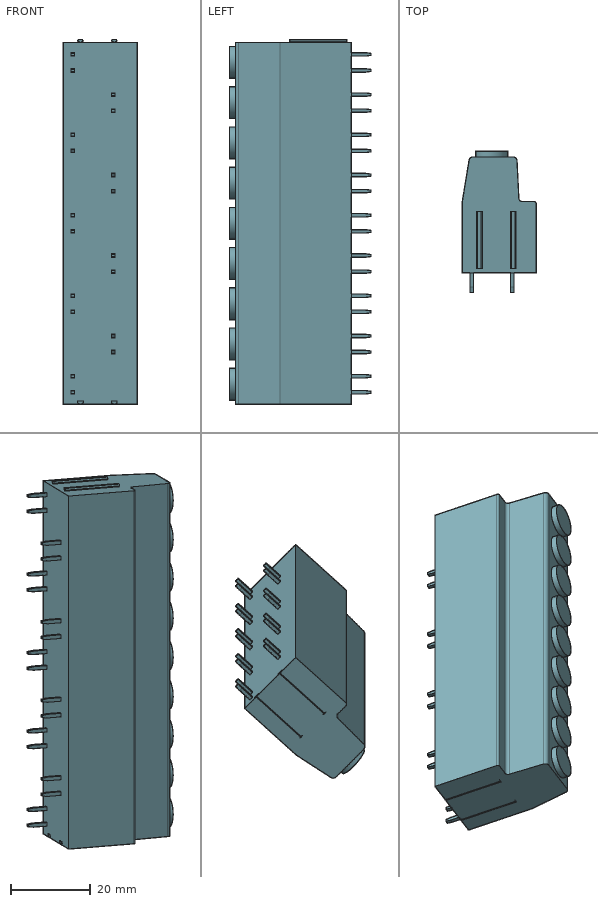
import cadquery as cq

LENGTH = 92.2
WIDTH = 18.7
DEPTH = 35.8

BUTTON_HEIGHT = 1.5
PIN_LENGTH = 5.0
HOUSING_DEPTH = DEPTH - BUTTON_HEIGHT - PIN_LENGTH
SLOPE_START = 18.1
CROWN_LEFT = 1.8
CROWN_RIGHT = 13.8
WALL_FOOT = 14.4
SHELF_HEIGHT = 18.1
CROWN_RADIUS = 1.0
SHELF_INNER_RADIUS = 0.8
SHELF_OUTER_RADIUS = 0.55

DOVETAIL_X = (4.3, 12.9)
RIB_HEIGHT = 0.7
DOVETAIL_WIDTH = 1.5
RIB_ROOT_WIDTH = 0.4
RIB_TOP_WIDTH = 0.9
RIB_WIDEST_HEIGHT = 0.4
RIB_START = 1.1
RIB_END = 15.6
GROOVE_DEPTH = 0.8
GROOVE_MOUTH_WIDTH = 0.2
HOUSING_LENGTH = LENGTH - RIB_HEIGHT

POLE_COUNT = 9
POLE_PITCH = HOUSING_LENGTH / POLE_COUNT
BUTTON_DIAMETER = 8.1
BUTTON_X = 7.5

PIN_COLUMNS = (2.4, 12.6)
PIN_SPACING = 4.1
PIN_SIZE = 0.9
PIN_TIP_SIZE = 0.55
PIN_TIP_LENGTH = 1.4


def make_housing():
    outline = [
        (0, 0),
        (WIDTH, 0),
        (WIDTH, SHELF_HEIGHT),
        (WALL_FOOT, SHELF_HEIGHT),
        (CROWN_RIGHT, HOUSING_DEPTH),
        (CROWN_LEFT, HOUSING_DEPTH),
        (0, SLOPE_START),
    ]
    housing = cq.Workplane("XY").polyline(outline).close().extrude(HOUSING_LENGTH)
    housing = housing.edges("|Z and >Y").fillet(CROWN_RADIUS)
    shelf_rounds = (
        (WIDTH, SHELF_OUTER_RADIUS),
        (WALL_FOOT, SHELF_INNER_RADIUS),
    )
    for x, radius in shelf_rounds:
        corner = cq.selectors.NearestToPointSelector((x, SHELF_HEIGHT, HOUSING_LENGTH / 2))
        housing = housing.edges(corner).fillet(radius)
    return housing


def make_dovetail_bar(levels, x, y_start):
    """Bar along Y, mirrored about x; levels lists (width, z) from bottom to top."""
    right_side = [(x + width / 2, z) for width, z in levels]
    left_side = [(x - width / 2, z) for width, z in reversed(levels)]
    plane = cq.Workplane("XZ", origin=(0, y_start, 0))
    return plane.polyline(right_side + left_side).close().extrude(y_start - RIB_END)


def make_rib(x):
    """Rib that widens from its root and narrows again at its top."""
    levels = [
        (RIB_ROOT_WIDTH, HOUSING_LENGTH),
        (DOVETAIL_WIDTH, HOUSING_LENGTH + RIB_WIDEST_HEIGHT),
        (RIB_TOP_WIDTH, LENGTH),
    ]
    return make_dovetail_bar(levels, x, RIB_START)


def make_groove(x):
    """Undercut groove, open at the -Y face and closed where the ribs end."""
    levels = [
        (GROOVE_MOUTH_WIDTH, 0),
        (DOVETAIL_WIDTH, GROOVE_DEPTH / 2),
        (DOVETAIL_WIDTH, GROOVE_DEPTH),
    ]
    return make_dovetail_bar(levels, x, 0)


def make_button(z):
    plane = cq.Workplane("XZ", origin=(BUTTON_X, HOUSING_DEPTH, z))
    return plane.circle(BUTTON_DIAMETER / 2).extrude(-BUTTON_HEIGHT)


def make_pin(x, z):
    """Square pin whose tip tapers in Z only."""
    taper_y = PIN_TIP_LENGTH - PIN_LENGTH
    outline = [
        (0, z - PIN_SIZE / 2),
        (taper_y, z - PIN_SIZE / 2),
        (-PIN_LENGTH, z - PIN_TIP_SIZE / 2),
        (-PIN_LENGTH, z + PIN_TIP_SIZE / 2),
        (taper_y, z + PIN_SIZE / 2),
        (0, z + PIN_SIZE / 2),
    ]
    plane = cq.Workplane("YZ", origin=(x - PIN_SIZE / 2, 0, 0))
    return plane.polyline(outline).close().extrude(PIN_SIZE)


result = make_housing()

for dovetail_x in DOVETAIL_X:
    result = result.union(make_rib(dovetail_x))
    result = result.cut(make_groove(dovetail_x))

for pole in range(POLE_COUNT):
    pole_z = HOUSING_LENGTH - (pole + 0.5) * POLE_PITCH
    pin_x = PIN_COLUMNS[pole % len(PIN_COLUMNS)]
    result = result.union(make_button(pole_z))
    for side in (-1, 1):
        result = result.union(make_pin(pin_x, pole_z + side * PIN_SPACING / 2))